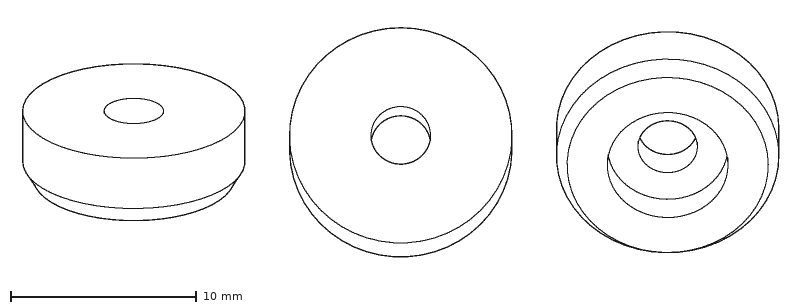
import cadquery as cq
import math

outer_diameter = 12.0
height = 4.0
hole_diameter = 3.2
counterbore_diameter = 6.5
counterbore_depth = height / 2

taper_height = height / 4
taper_angle = 30.0
taper_inset = taper_height * math.tan(math.radians(taper_angle))

body = (
    cq.Workplane("XY")
    .circle(outer_diameter / 2)
    .extrude(height)
    .faces("<Z")
    .edges()
    .chamfer(taper_height, taper_inset)
)

hole = cq.Workplane("XY").circle(hole_diameter / 2).extrude(height)
counterbore = cq.Workplane("XY").circle(counterbore_diameter / 2).extrude(counterbore_depth)

result = body.cut(hole).cut(counterbore)